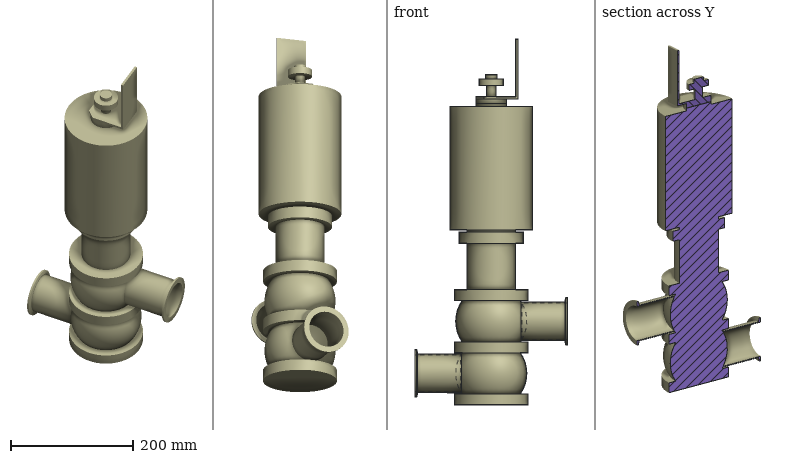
import cadquery as cq
import math

flange_diameter = 121.0
flange_thickness = 18.0
chamber_pitch = 85.25
chamber_diameter = 116.5
chamber_gap = chamber_pitch - flange_thickness
lower_chamber_z = flange_thickness + chamber_gap / 2
upper_chamber_z = lower_chamber_z + chamber_pitch
housing_top_z = 2 * chamber_pitch + flange_thickness

port_reach = 125.0
pipe_diameter = 63.5
pipe_bore = 59.5
ferrule_diameter = 77.5
ferrule_back_diameter = 67.0
ferrule_rim_thickness = 3.0
ferrule_back_thickness = 1.5

neck_diameter = 80.0
neck_ring_diameter = 105.0
neck_ring_thickness = 18.5
neck_ring_gap = 3.5

actuator_diameter = 135.5
actuator_height = 202.0
actuator_bottom_z = 286.25
actuator_top_z = actuator_bottom_z + actuator_height

collar_diameter = 50.0
lower_collar_height = 5.0
upper_collar_height = 7.0
collar_joint_z = actuator_top_z + lower_collar_height
collar_top_z = collar_joint_z + upper_collar_height

bracket_width = collar_diameter
bracket_thickness = 4.0
bracket_back_x = -collar_diameter / 2
bracket_front_x = 44.0
bracket_corner = 13.0
bracket_top_z = 598.25

stem_diameter = 16.0
stem_height = 18.0
disc_diameter = 40.0
disc_thickness = 11.0
knob_diameter = 19.5
knob_height = 7.0


def cylinder(diameter, bottom_z, height):
    """Upright cylinder on the valve axis."""
    return cq.Workplane("XY").workplane(offset=bottom_z).circle(diameter / 2).extrude(height)


def valve_core():
    """Flanges, ball chambers, neck, actuator and lower collar, revolved in one piece about Z."""
    flange_radius = flange_diameter / 2
    ball_radius = chamber_diameter / 2
    ball_end_radius = math.sqrt(ball_radius**2 - (chamber_gap / 2) ** 2)
    neck_radius = neck_diameter / 2
    ring_radius = neck_ring_diameter / 2
    ring_top_z = actuator_bottom_z - neck_ring_gap
    ring_bottom_z = ring_top_z - neck_ring_thickness
    actuator_radius = actuator_diameter / 2
    collar_radius = collar_diameter / 2

    profile = cq.Workplane("YZ").moveTo(0, 0).lineTo(flange_radius, 0)
    for center_z in (lower_chamber_z, upper_chamber_z):
        ball_bottom_z = center_z - chamber_gap / 2
        ball_top_z = center_z + chamber_gap / 2
        profile = (
            profile.lineTo(flange_radius, ball_bottom_z)
            .lineTo(ball_end_radius, ball_bottom_z)
            .threePointArc((ball_radius, center_z), (ball_end_radius, ball_top_z))
            .lineTo(flange_radius, ball_top_z)
        )
    return (
        profile.lineTo(flange_radius, housing_top_z)
        .lineTo(neck_radius, housing_top_z)
        .lineTo(neck_radius, ring_bottom_z)
        .lineTo(ring_radius, ring_bottom_z)
        .lineTo(ring_radius, ring_top_z)
        .lineTo(neck_radius, ring_top_z)
        .lineTo(neck_radius, actuator_bottom_z)
        .lineTo(actuator_radius, actuator_bottom_z)
        .lineTo(actuator_radius, actuator_top_z)
        .lineTo(collar_radius, actuator_top_z)
        .lineTo(collar_radius, collar_joint_z)
        .lineTo(0, collar_joint_z)
        .close()
        .revolve(360, (0, 0, 0), (0, 1, 0))
    )


def port(center_z, side):
    """Tube with a clamp ferrule on its open end; side is +1 or -1 along X."""
    bore_radius = pipe_bore / 2
    pipe_radius = pipe_diameter / 2
    ferrule_radius = ferrule_diameter / 2
    ferrule_back_radius = ferrule_back_diameter / 2
    rim_x = port_reach - ferrule_rim_thickness
    section = [
        (0, bore_radius),
        (port_reach, bore_radius),
        (port_reach, ferrule_radius),
        (rim_x, ferrule_radius),
        (rim_x - ferrule_back_thickness, ferrule_back_radius),
        (rim_x - ferrule_back_thickness, pipe_radius),
        (0, pipe_radius),
    ]
    outline = [(side * x, radius) for x, radius in section]
    tube = cq.Workplane("XZ").polyline(outline).close().revolve(360, (0, 0, 0), (1, 0, 0))
    return tube.translate((0, 0, center_z))


def make_valve():
    """Valve body with one port on each ball chamber."""
    lower_port = port(lower_chamber_z, -1)
    upper_port = port(upper_chamber_z, 1)
    return valve_core().union(lower_port).union(upper_port)


def bracket():
    """L-shaped plate: a base with two cut corners and an upright along its front edge."""
    half_width = bracket_width / 2
    base = (
        cq.Workplane("XY", origin=(0, 0, collar_top_z))
        .moveTo(bracket_front_x, -half_width)
        .lineTo(bracket_front_x, half_width)
        .lineTo(bracket_back_x + bracket_corner, half_width)
        .lineTo(bracket_back_x, half_width - bracket_corner)
        .lineTo(bracket_back_x, bracket_corner - half_width)
        .lineTo(bracket_back_x + bracket_corner, -half_width)
        .close()
        .extrude(bracket_thickness)
    )
    upright = (
        cq.Workplane("XY", origin=(bracket_front_x - bracket_thickness, 0, collar_top_z))
        .box(bracket_thickness, bracket_width, bracket_top_z - collar_top_z, centered=(False, True, False))
    )
    return base.union(upright)


def make_indicator():
    """Upper collar, bracket, stem, disc and knob as one solid."""
    stem_bottom_z = collar_top_z + bracket_thickness
    disc_bottom_z = stem_bottom_z + stem_height
    disc_top_z = disc_bottom_z + disc_thickness
    upper_collar = cylinder(collar_diameter, collar_joint_z, upper_collar_height)
    stem = cylinder(stem_diameter, stem_bottom_z, stem_height)
    disc = cylinder(disc_diameter, disc_bottom_z, disc_thickness)
    knob = cylinder(knob_diameter, disc_top_z, knob_height)
    return bracket().union(upper_collar).union(stem).union(disc).union(knob)


valve = make_valve()
indicator = make_indicator()
result = cq.Compound.makeCompound([valve.val(), indicator.val()])